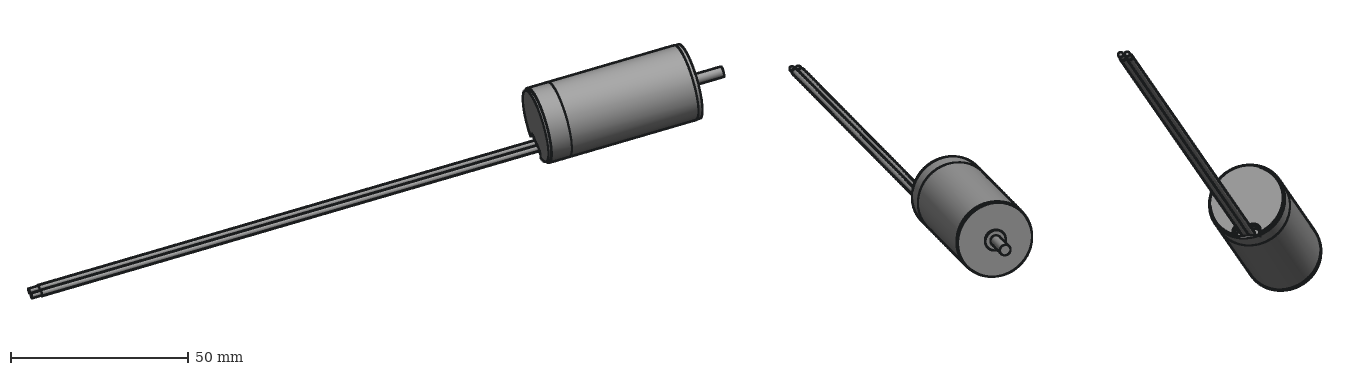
import cadquery as cq


motor_diameter = 22.0
motor_radius = motor_diameter / 2
can_length = 39.4
rim_width = 1.2
rim_step = 0.1
collar_diameter = 6.0
collar_height = 0.6

shaft_diameter = 3.1
shaft_tip_y = 10.0
shaft_seat_depth = 6.2

cap_length = 6.9
plate_step = 0.52
plate_thickness = 0.8
notch_width = 8.1
notch_top_z = -7.0
notch_corner_radius = 2.0
pocket_inset = 0.6
pocket_depth = 2.0
pocket_bottom_z = -10.2

overall_length = 208.2
wire_diameter = 1.9
wire_z = -9.2
core_diameter = 1.5
stripped_length = 3.0

can_rear_y = -can_length
cap_rear_y = can_rear_y - cap_length
shoulder_y = cap_rear_y + plate_thickness
pocket_floor_y = shoulder_y + pocket_depth
core_tip_y = shaft_tip_y - overall_length
wire_tip_y = core_tip_y + stripped_length


def rod(diameter, start_y, end_y, x=0.0, z=0.0):
    """Cylinder parallel to Y between two Y positions."""
    length = end_y - start_y
    center = cq.Vector(x, start_y, z)
    return cq.Workplane(cq.Solid.makeCylinder(diameter / 2, length, center, cq.Vector(0, 1, 0)))


def make_shaft():
    return rod(shaft_diameter, -shaft_seat_depth, shaft_tip_y)


def make_can(shaft):
    """Can with a slightly smaller front rim, a collar around the shaft and the shaft seat."""
    body = rod(motor_diameter, can_rear_y, -rim_width)
    rim = rod(motor_diameter - 2 * rim_step, -rim_width, 0)
    collar = rod(collar_diameter, 0, collar_height)
    return body.union(rim).union(collar).cut(shaft)


def rounded_opening(width, bottom_z, top_z, corner_radius, start_y, end_y):
    """Block along Y with rounded upper corners, used to cut the wire exit."""
    return (
        cq.Workplane("XY")
        .box(width, end_y - start_y, top_z - bottom_z, centered=(True, False, False))
        .edges("|Y and >Z")
        .fillet(corner_radius)
        .translate((0, start_y, bottom_z))
    )


def make_cap():
    """End cap with a stepped rear plate, notched at the bottom around a pocket for the wires."""
    body = rod(motor_diameter, shoulder_y, can_rear_y)
    plate = rod(motor_diameter - 2 * plate_step, cap_rear_y, shoulder_y)
    notch = rounded_opening(
        notch_width, -motor_radius, notch_top_z, notch_corner_radius, cap_rear_y, shoulder_y
    )
    pocket = rounded_opening(
        notch_width - 2 * pocket_inset,
        pocket_bottom_z,
        notch_top_z - pocket_inset,
        notch_corner_radius - pocket_inset,
        shoulder_y,
        pocket_floor_y,
    )
    return body.union(plate.cut(notch)).cut(pocket)


def make_core(x):
    return rod(core_diameter, core_tip_y, pocket_floor_y, x, wire_z)


def make_insulation(x):
    """Sleeve around one core, which stays bare at its tip."""
    return rod(wire_diameter, wire_tip_y, pocket_floor_y, x, wire_z).cut(make_core(x))


shaft = make_shaft()
can = make_can(shaft)
cap = make_cap()

cores = []
insulations = []
for side in (-1, 1):
    wire_x = side * wire_diameter / 2
    cores.append(make_core(wire_x).val())
    insulations.append(make_insulation(wire_x).val())

result = cq.Compound.makeCompound([can.val(), cap.val(), shaft.val(), *insulations, *cores])